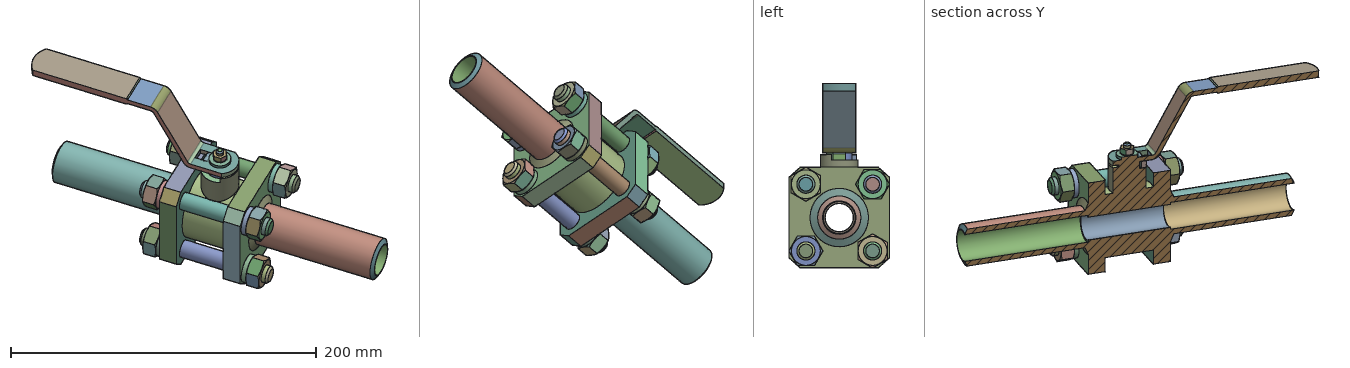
import cadquery as cq
import math


PIPE_HALF_LENGTH = 115.0
PIPE_RADIUS = 14.1
PIPE_BORE_RADIUS = 10.5
BALL_BORE_RADIUS = 9.2
BEVEL_LENGTH = 1.7
BEVEL_END_RADIUS = 11.0
FLARE_LENGTH = 2.2
FLARE_RADIUS = 19.0

FLANGE_SIDE = 66.0
FLANGE_THICKNESS = 12.2
FLANGE_GAP = 33.5
CORNER_CUT_Y = 7.5
CORNER_CUT_Z = 6.7
BODY_RADIUS = 23.3
flange_outer_x = FLANGE_GAP / 2 + FLANGE_THICKNESS

BOLT_OFFSET = 21.8
BOLT_RADIUS = 6.0
BOLT_HALF_LENGTH = 45.9
BOLT_CHAMFER = 1.5
WASHER_RADIUS = 9.7
WASHER_THICKNESS = 3.2
NUT_FLATS = 19.3
NUT_THICKNESS = 9.5
NUT_BEVEL_LENGTH = 0.7
NUT_BEVEL_DEPTH = 1.7

COLLAR_RADIUS = 12.5
COLLAR_TOP = 41.2
COLLAR_LOW_TOP = 37.7
COLLAR_STOP_OFFSET = 5.0
STEM_RADIUS = 8.5

LEVER_WIDTH = 21.8
LEVER_THICKNESS = 3.5
LEVER_BASE_TOP = 45.9
LEVER_ANGLE = 60.0
LEVER_BEND_RADIUS = 2.5
LOWER_BEND_X = -17.5
LEVER_TIP_X = -133.0
LEVER_TIP_RADIUS = 16.0
GRIP_END_X = -61.2
GRIP_TOP = 87.8
GRIP_THICKNESS = 5.0
lever_base_bottom = LEVER_BASE_TOP - LEVER_THICKNESS
grip_step = (GRIP_THICKNESS - LEVER_THICKNESS) / 2
lever_arm_top = GRIP_TOP - grip_step

SLOT_WIDTH = 8.5
SLOT_START_X = -15.9
TAB_OUTER_X = -12.0
TAB_BEND_RADIUS = 4.5

STEM_WASHER_RADIUS = 7.2
STEM_WASHER_THICKNESS = 2.0
STEM_NUT_FLATS = 8.5
STEM_NUT_BOTTOM = 48.4
STEM_NUT_TOP = 52.3
STUD_RADIUS = 2.5
STUD_TOP = 55.3
STUD_CHAMFER = 1.0


def x_cylinder(radius, start_x, end_x, y=0, z=0):
    """Cylinder along X between two X positions."""
    disc = cq.Workplane("YZ", origin=(start_x, 0, 0)).center(y, z).circle(radius)
    return disc.extrude(end_x - start_x)


def z_cylinder(radius, bottom, top):
    """Cylinder on the stem axis."""
    return cq.Workplane("XY", origin=(0, 0, bottom)).circle(radius).extrude(top - bottom)


def across_corners(flats):
    return flats / math.cos(math.radians(30))


def pipe_run():
    """Both pipe stubs as one solid of revolution, with end bevels and flares at the flanges."""
    flare_end_x = flange_outer_x + FLARE_LENGTH
    bevel_start_x = PIPE_HALF_LENGTH - BEVEL_LENGTH
    half = [
        (PIPE_HALF_LENGTH, 0),
        (PIPE_HALF_LENGTH, BEVEL_END_RADIUS),
        (bevel_start_x, PIPE_RADIUS),
        (flare_end_x, PIPE_RADIUS),
        (flange_outer_x, FLARE_RADIUS),
    ]
    mirrored = [(-x, r) for x, r in reversed(half)]
    outline = cq.Workplane("XY").polyline(half + mirrored).close()
    return outline.revolve(360, (0, 0, 0), (1, 0, 0))


def flange(start_x):
    """Square flange with its four corners cut off."""
    half_side = FLANGE_SIDE / 2
    cut_y = half_side - CORNER_CUT_Y
    cut_z = half_side - CORNER_CUT_Z
    outline = [
        (cut_y, half_side),
        (half_side, cut_z),
        (half_side, -cut_z),
        (cut_y, -half_side),
        (-cut_y, -half_side),
        (-half_side, -cut_z),
        (-half_side, cut_z),
        (-cut_y, half_side),
    ]
    plate = cq.Workplane("YZ", origin=(start_x, 0, 0)).polyline(outline).close()
    return plate.extrude(FLANGE_THICKNESS)


def hex_nut(start_x, points_up):
    """Hexagon nut along X with bevelled corners; its points lie along Z or along Y."""
    corners = across_corners(NUT_FLATS)
    end_x = start_x + NUT_THICKNESS
    prism = cq.Workplane("YZ", origin=(start_x, 0, 0)).polygon(6, corners).extrude(NUT_THICKNESS)
    if points_up:
        prism = prism.rotate((0, 0, 0), (1, 0, 0), 90)
    turned = x_cylinder(corners / 2, start_x, end_x)
    turned = turned.faces("<X or >X").chamfer(NUT_BEVEL_LENGTH, NUT_BEVEL_DEPTH)
    return prism.intersect(turned)


def bolt_set(y, z):
    """Through bolt with its washers and nuts."""
    bolt = x_cylinder(BOLT_RADIUS, -BOLT_HALF_LENGTH, BOLT_HALF_LENGTH)
    bolt = bolt.faces("<X or >X").chamfer(BOLT_CHAMFER)
    nut_x = flange_outer_x + WASHER_THICKNESS
    bolt = bolt.union(x_cylinder(WASHER_RADIUS, flange_outer_x, nut_x))
    bolt = bolt.union(x_cylinder(WASHER_RADIUS, -nut_x, -flange_outer_x))
    points_up = y * z > 0
    bolt = bolt.union(hex_nut(nut_x, points_up))
    bolt = bolt.union(hex_nut(-nut_x - NUT_THICKNESS, points_up))
    return bolt.translate((0, y, z))


def stem_collar():
    """Collar whose rim is cut down over the quarter the lever tab sweeps, with the stem inside."""
    reach = 2 * COLLAR_RADIUS
    swing_cut = cq.Workplane("XY").box(reach, reach, COLLAR_TOP - COLLAR_LOW_TOP, centered=False)
    swing_cut = swing_cut.translate(
        (COLLAR_STOP_OFFSET - reach, COLLAR_STOP_OFFSET - reach, COLLAR_LOW_TOP)
    )
    collar = z_cylinder(COLLAR_RADIUS, 0, COLLAR_TOP).cut(swing_cut)
    return collar.union(z_cylinder(STEM_RADIUS, 0, lever_base_bottom))


def lever_strip():
    """Bent strip: base on the stem, sloping arm, level run to the grip."""
    slope = math.tan(math.radians(LEVER_ANGLE))
    upper_bend_x = LOWER_BEND_X - (lever_arm_top - LEVER_BASE_TOP) / slope
    shift = LEVER_THICKNESS * math.tan(math.radians(LEVER_ANGLE / 2))
    arm_bottom = lever_arm_top - LEVER_THICKNESS
    outline = [
        (COLLAR_RADIUS, LEVER_BASE_TOP),
        (LOWER_BEND_X, LEVER_BASE_TOP),
        (upper_bend_x, lever_arm_top),
        (GRIP_END_X, lever_arm_top),
        (GRIP_END_X, arm_bottom),
        (upper_bend_x - shift, arm_bottom),
        (LOWER_BEND_X - shift, lever_base_bottom),
        (COLLAR_RADIUS, lever_base_bottom),
    ]
    strip = cq.Workplane("XZ").polyline(outline).close().extrude(LEVER_WIDTH / 2, both=True)

    def bend_edge(x, z):
        return cq.selectors.NearestToPointSelector((x, 0, z))

    outer_radius = LEVER_BEND_RADIUS + LEVER_THICKNESS
    strip = strip.edges(bend_edge(LOWER_BEND_X, LEVER_BASE_TOP)).fillet(LEVER_BEND_RADIUS)
    strip = strip.edges(bend_edge(upper_bend_x - shift, arm_bottom)).fillet(LEVER_BEND_RADIUS)
    strip = strip.edges(bend_edge(LOWER_BEND_X - shift, lever_base_bottom)).fillet(outer_radius)
    strip = strip.edges(bend_edge(upper_bend_x, lever_arm_top)).fillet(outer_radius)

    rounded_end = z_cylinder(COLLAR_RADIUS, lever_base_bottom, LEVER_BASE_TOP)
    beyond_stem = cq.Workplane("XY").box(
        COLLAR_RADIUS, LEVER_WIDTH, GRIP_TOP, centered=(False, True, False)
    )
    return strip.cut(beyond_stem.cut(rounded_end))


def grip():
    """Thicker sleeve over the lever end, with an arc-shaped tip and a chamfered step to the arm."""
    half_width = LEVER_WIDTH / 2
    tip_depth = LEVER_TIP_RADIUS - math.sqrt(LEVER_TIP_RADIUS**2 - half_width**2)
    shoulder_x = LEVER_TIP_X + tip_depth
    outline = (
        cq.Workplane("XY", origin=(0, 0, GRIP_TOP - GRIP_THICKNESS))
        .moveTo(GRIP_END_X, -half_width)
        .lineTo(GRIP_END_X, half_width)
        .lineTo(shoulder_x, half_width)
        .threePointArc((LEVER_TIP_X, 0), (shoulder_x, -half_width))
        .close()
    )
    sleeve = outline.extrude(GRIP_THICKNESS)
    return sleeve.faces(">X").edges("|Y").chamfer(grip_step)


def slot_opening():
    """Gap that the tab leaves in the lever base, reaching to the stem."""
    slot = cq.Workplane("XY").box(
        -SLOT_START_X, SLOT_WIDTH, LEVER_THICKNESS, centered=(False, True, False)
    )
    return slot.translate((SLOT_START_X, 0, lever_base_bottom))


def stop_tab():
    """Tongue running from the stem and bent down to the low part of the collar."""
    tongue = (
        cq.Workplane("XZ")
        .moveTo(0, LEVER_BASE_TOP)
        .lineTo(TAB_OUTER_X, LEVER_BASE_TOP)
        .lineTo(TAB_OUTER_X, COLLAR_LOW_TOP)
        .lineTo(TAB_OUTER_X + LEVER_THICKNESS, COLLAR_LOW_TOP)
        .lineTo(TAB_OUTER_X + LEVER_THICKNESS, lever_base_bottom)
        .lineTo(0, lever_base_bottom)
        .close()
        .extrude(SLOT_WIDTH / 2, both=True)
    )
    bend = cq.selectors.NearestToPointSelector((TAB_OUTER_X, 0, LEVER_BASE_TOP))
    return tongue.edges(bend).fillet(TAB_BEND_RADIUS)


def stem_hardware():
    """Washer, nut and stud that hold the lever on the stem."""
    washer_top = LEVER_BASE_TOP + STEM_WASHER_THICKNESS
    stack = z_cylinder(STEM_WASHER_RADIUS, LEVER_BASE_TOP, washer_top)
    nut = cq.Workplane("XY", origin=(0, 0, STEM_NUT_BOTTOM))
    nut = nut.polygon(6, across_corners(STEM_NUT_FLATS)).extrude(STEM_NUT_TOP - STEM_NUT_BOTTOM)
    stud = z_cylinder(STUD_RADIUS, lever_base_bottom, STUD_TOP).faces(">Z").chamfer(STUD_CHAMFER)
    seat = z_cylinder(STEM_NUT_FLATS / 2, washer_top, STEM_NUT_BOTTOM)
    return stack.union(seat).union(nut).union(stud)


result = pipe_run()
result = result.union(x_cylinder(BODY_RADIUS, -FLANGE_GAP / 2, FLANGE_GAP / 2))
result = result.union(flange(FLANGE_GAP / 2))
result = result.union(flange(-flange_outer_x))

for bolt_y in (-BOLT_OFFSET, BOLT_OFFSET):
    for bolt_z in (-BOLT_OFFSET, BOLT_OFFSET):
        result = result.union(bolt_set(bolt_y, bolt_z))

lever = lever_strip().cut(slot_opening()).union(stop_tab()).union(grip())
result = result.union(stem_collar()).union(lever).union(stem_hardware())

result = result.cut(x_cylinder(BALL_BORE_RADIUS, -PIPE_HALF_LENGTH, PIPE_HALF_LENGTH))
result = result.cut(x_cylinder(PIPE_BORE_RADIUS, -PIPE_HALF_LENGTH, -flange_outer_x))
result = result.cut(x_cylinder(PIPE_BORE_RADIUS, flange_outer_x, PIPE_HALF_LENGTH))